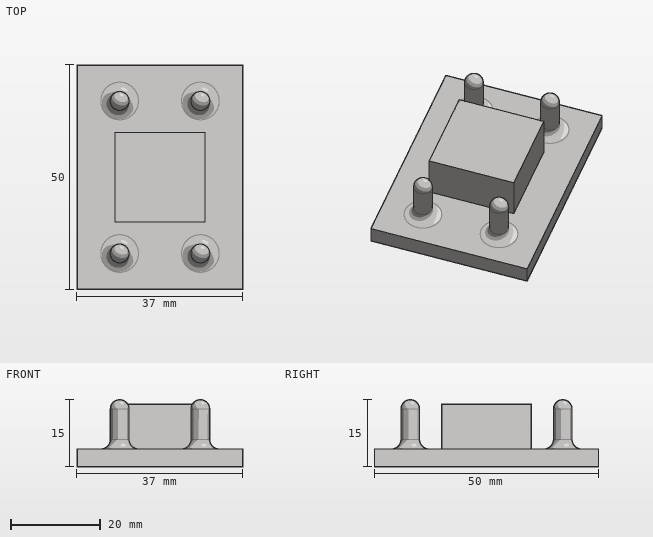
import cadquery as cq

plate_width = 37
plate_length = 50
plate_thickness = 4

block_side = 20
block_height = 10

pin_diameter = 4.2
pin_radius = pin_diameter / 2
pin_spacing_x = 18
pin_spacing_y = 34
pin_top = 15
flare_radius = 2.1


def make_plate():
    return cq.Workplane("XY").box(plate_width, plate_length, plate_thickness, centered=(True, True, False))


def make_block():
    block = cq.Workplane("XY").box(block_side, block_side, block_height, centered=(True, True, False))
    return block.translate((0, 0, plate_thickness))


def make_pin():
    """Revolve the half profile: flared foot, straight shank and hemispherical tip."""
    flare_top = plate_thickness + flare_radius
    foot_radius = pin_radius + flare_radius
    return (
        cq.Workplane("XZ")
        .moveTo(0, 0)
        .lineTo(pin_radius, 0)
        .lineTo(pin_radius, plate_thickness)
        .lineTo(foot_radius, plate_thickness)
        .radiusArc((pin_radius, flare_top), flare_radius)
        .lineTo(pin_radius, pin_top - pin_radius)
        .radiusArc((0, pin_top), -pin_radius)
        .close()
        .revolve(360, (0, 0, 0), (0, 1, 0))
    )


result = make_plate().union(make_block())
pin = make_pin()
for x in (-pin_spacing_x / 2, pin_spacing_x / 2):
    for y in (-pin_spacing_y / 2, pin_spacing_y / 2):
        result = result.union(pin.translate((x, y, 0)))